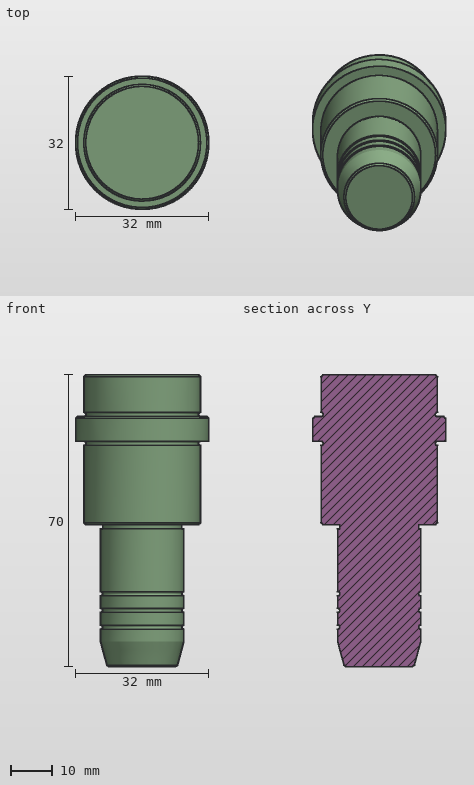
import cadquery as cq

length = 70.0
flange_radius = 32.0 / 2
body_radius = 14.0
shank_radius = 10.0
edge_chamfer = 0.5

flange_top = 60.0
flange_bottom = 54.05
body_bottom = 34.0
taper_start = 6.0

groove_width = 1.0
groove_radius = groove_width / 2
shank_groove_tops = (18.0, 14.0, 10.0)

neck_height = 1.0
neck_depth = 0.5
neck_radius = shank_radius - neck_depth

nose_radius = 8.5
tip_radius = 8.0
tip_height = 0.35


def add_lines(section, points):
    """Continue the section with straight lines through the points."""
    for point in points:
        section = section.lineTo(*point)
    return section


def add_groove(section, radius, top):
    """Continue down through a half-round groove."""
    floor_point = (radius - groove_radius, top - groove_radius)
    section = section.lineTo(radius, top)
    return section.threePointArc(floor_point, (radius, top - groove_width))


section = cq.Workplane("XZ").moveTo(0, length)

section = add_lines(section, [
    (body_radius - edge_chamfer, length),
    (body_radius, length - edge_chamfer),
])
section = add_groove(section, body_radius, flange_top + groove_width)

section = add_lines(section, [
    (flange_radius - edge_chamfer, flange_top),
    (flange_radius, flange_top - edge_chamfer),
    (flange_radius, flange_bottom),
])
section = add_groove(section, body_radius, flange_bottom)

section = add_lines(section, [
    (body_radius, body_bottom + edge_chamfer),
    (body_radius - edge_chamfer, body_bottom),
    (neck_radius, body_bottom),
    (neck_radius, body_bottom - neck_height),
    (shank_radius, body_bottom - neck_height),
])

for groove_top in shank_groove_tops:
    section = add_groove(section, shank_radius, groove_top)

section = add_lines(section, [
    (shank_radius, taper_start),
    (nose_radius, tip_height),
    (tip_radius, 0),
    (0, 0),
])

result = section.close().revolve(360, (0, 0, 0), (0, 1, 0))